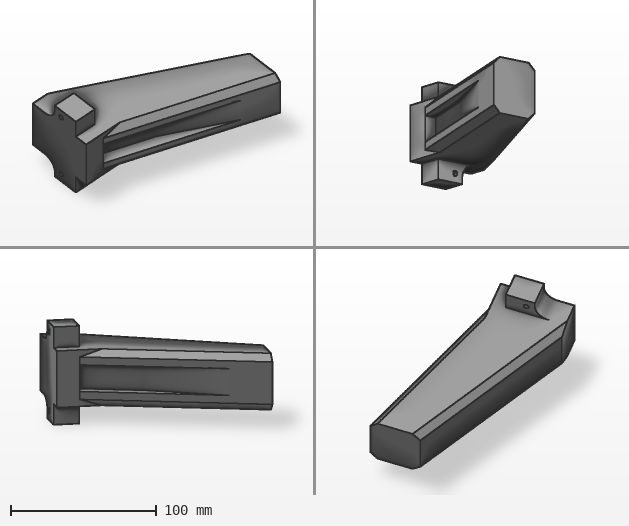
import cadquery as cq

length = 142.3
total_height = 68.9
total_width = 96.8

base_width = 54.1
body_height = 39.8
left_bend_y = 24.9
right_bend_y = 16.1
tip_left_x = 60.3
bevel = 5.0

ear_left_x = 22.3
ear_width = 21.3
ear_depth = 18.0
ear_fillet = 10.0
hole_x = 28.7
hole_z = 27.8
hole_diameter = 3.7

pocket_height = 18.8
pocket_top_x = 87.1
pocket_bend_x = 59.5

left_lean = tip_left_x / (length - left_bend_y)
right_lean = (total_width - base_width) / (length - right_bend_y)


def make_body():
    """Base and arm as one extrusion, with the long slanted edges beveled."""
    outline = [
        (0, 0),
        (base_width, 0),
        (base_width, right_bend_y),
        (total_width, length),
        (tip_left_x, length),
        (0, left_bend_y),
    ]
    body = cq.Workplane("XY").polyline(outline).close().extrude(body_height / 2, both=True)
    left_edges = cq.selectors.ParallelDirSelector(cq.Vector(left_lean, 1, 0))
    right_edges = cq.selectors.ParallelDirSelector(cq.Vector(right_lean, 1, 0))
    return body.edges(left_edges + right_edges).chamfer(bevel)


def make_ear():
    """Upper ear with a concave fillet where its left side meets the base."""
    bottom = body_height / 2
    top = total_height / 2
    ear_right_x = ear_left_x + ear_width
    arc_center = (ear_left_x - ear_fillet, bottom + ear_fillet)
    arc_reach = ear_fillet / 2**0.5
    return (
        cq.Workplane("XZ")
        .moveTo(ear_left_x - ear_fillet, bottom)
        .threePointArc(
            (arc_center[0] + arc_reach, arc_center[1] - arc_reach),
            (ear_left_x, bottom + ear_fillet),
        )
        .lineTo(ear_left_x, top)
        .lineTo(ear_right_x, top)
        .lineTo(ear_right_x, 0)
        .lineTo(ear_left_x - ear_fillet, 0)
        .close()
        .extrude(-ear_depth)
        .cut(cq.Workplane("XZ").center(hole_x, hole_z).circle(hole_diameter / 2).extrude(-ear_depth))
    )


def make_pocket():
    """Pocket whose floor first follows the left side, then the right side."""
    pocket_top_y = right_bend_y + (pocket_top_x - base_width) / right_lean
    pocket_bend_y = pocket_top_y - (pocket_top_x - pocket_bend_x) / left_lean
    floor_end_x = pocket_bend_x - (pocket_bend_y - right_bend_y) * right_lean
    outline = [
        (base_width, right_bend_y),
        (pocket_top_x, pocket_top_y),
        (pocket_bend_x, pocket_bend_y),
        (floor_end_x, right_bend_y),
    ]
    return cq.Workplane("XY").polyline(outline).close().extrude(pocket_height / 2, both=True)


upper_ear = make_ear()
lower_ear = upper_ear.mirror("XY")
result = make_body().union(upper_ear).union(lower_ear).cut(make_pocket())